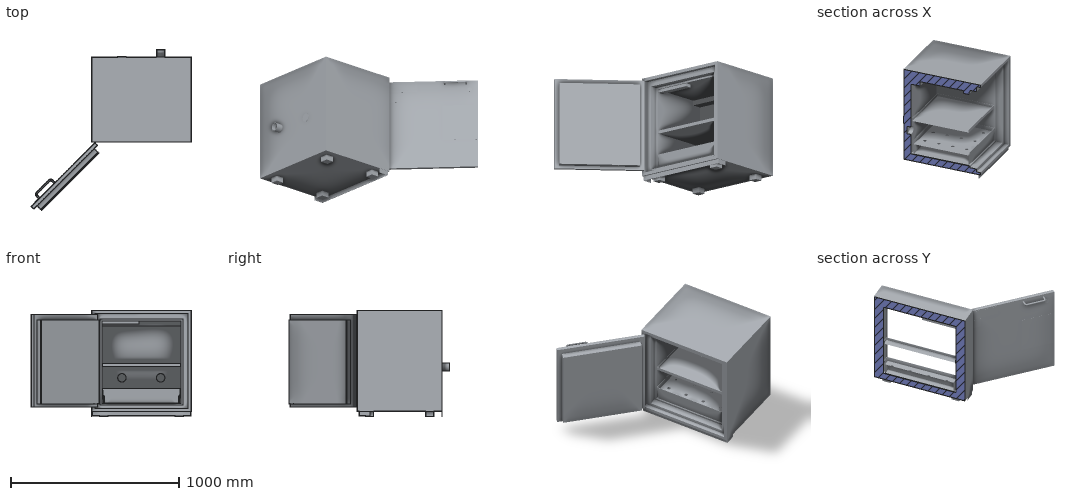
import cadquery as cq
import math


width = 592.15
depth = 503.7
height = 600.0
foot_height = 30.88
foot_side = 50.0
foot_inset = 48.0
side_rim = 20.0
end_rim = 18.5
recess_depth = 27.0
mouth_width = 494.0
mouth_height = 511.0
mouth_top_gap = 51.5
mouth_depth = 43.0
chamber_width = 470.0
chamber_height = 489.0
chamber_depth = 385.0
top = foot_height + height
mid_x = width / 2
mouth_mid_z = top - mouth_top_gap - mouth_height / 2
chamber_front = recess_depth + mouth_depth
chamber_back = chamber_front + chamber_depth
chamber_floor = mouth_mid_z - chamber_height / 2
chamber_top = mouth_mid_z + chamber_height / 2
chamber_left = mid_x - chamber_width / 2

band_height = 29.0
band_depth = 60.0
rail_length = 219.0
rail_height = 18.0
rail_depth = 40.0

duct_diameter = 50.0
duct_x = (180.0, 410.0)
port_z = top - 400.0
port_depth = 25.0
spigot_z = top - 336.0
spigot_length = 44.5
spigot_bore = 45.0
cap_length = 3.0

strip_side = 1.0

plinth_gap = 3.0
plinth_setback = 11.0
plinth_depth = 64.0
plinth_height = 26.5
plinth_sheet = 2.0

door_angle = 45.0
hinge_x = 20.0
hinge_y = -4.3
door_width = 535.0
door_height = 551.0
door_thickness = 21.5
door_top_gap = 23.0
plug_width = 480.0
plug_height = 499.0
plug_thickness = 30.0
lining_thickness = 8.0
plug_top_gap = 56.5
lock_diameter = 25.0
lock_height = 2.0
lock_from_hinge = 487.0
lock_z = top - 80.0

label_thickness = 0.5
labels = (
    (8.0, 31.5, 168.0, 57.0),
    (9.0, 94.5, 59.0, 57.0),
    (325.0, 179.5, 210.0, 221.0),
)

handle_diameter = 10.0
handle_span = 128.0
handle_from_hinge = 402.0
handle_reach = 33.2
handle_bend = 13.0
handle_z = top - 44.0

shelf_width = 465.0
shelf_depth = 370.0
shelf_thickness = 19.0
shelf_sheet = 2.0
shelf_top = top - 315.0

tray_width = 465.0
tray_depth = 375.0
tray_height = 87.0
tray_taper = 8.0
tray_sheet = 2.0
insert_drop = 20.0
insert_sheet = 2.0
hole_diameter = 20.0
hole_columns = 4
hole_rows = 4
hole_pitch_x = 119.0
hole_pitch_y = 91.0
shelf_front = chamber_front + 7.0
tray_front = chamber_front + 1.0
tray_mid_y = tray_front + tray_depth / 2


def block(x, y, z, dx, dy, dz):
    return cq.Workplane("XY").box(dx, dy, dz, centered=False).translate((x, y, z))


def rod(x, y, z, diameter, length):
    """Cylinder that runs from (x, y, z) along +Y."""
    return cq.Workplane("XZ").circle(diameter / 2).extrude(-length).translate((x, y, z))


def make_housing():
    body = block(0, 0, foot_height, width, depth, height)
    body = body.cut(block(side_rim, 0, foot_height + end_rim,
                          width - 2 * side_rim, recess_depth, height - 2 * end_rim))
    body = body.cut(block(mid_x - mouth_width / 2, 0, mouth_mid_z - mouth_height / 2,
                          mouth_width, chamber_front, mouth_height))
    body = body.cut(block(chamber_left, 0, chamber_floor, chamber_width, chamber_back, chamber_height))
    body = body.union(block(chamber_left, chamber_back - band_depth, chamber_top - band_height,
                            chamber_width, band_depth, band_height))
    body = body.union(block(chamber_left, shelf_front, chamber_top - rail_height,
                            rail_length, rail_depth, rail_height))
    for x in duct_x:
        body = body.cut(rod(x, chamber_back, port_z, duct_diameter, port_depth))
    spigot = rod(duct_x[1], depth, spigot_z, duct_diameter, spigot_length)
    spigot = spigot.cut(rod(duct_x[1], depth, spigot_z, spigot_bore, spigot_length))
    body = body.union(spigot).union(rod(duct_x[0], depth, spigot_z, duct_diameter, cap_length))
    for x in (foot_inset, width - foot_inset - foot_side):
        for y in (foot_inset, depth - foot_inset - foot_side):
            body = body.union(block(x, y, 0, foot_side, foot_side, foot_height))
    return body.union(block(0, depth - strip_side, 0, strip_side, strip_side, foot_height))


def make_plinth():
    length = width - 2 * plinth_gap
    z = foot_height - plinth_height
    body = block(plinth_gap, plinth_setback, z, length, plinth_depth, plinth_height)
    return body.cut(block(plinth_gap + plinth_sheet, plinth_setback + plinth_sheet, z,
                          length - 2 * plinth_sheet, plinth_depth, plinth_height))


def swing(body):
    """Open a part modelled on the closed door: hinge edge on the Z axis, free edge along -X,
    outer face at Y = 0 and inner side towards -Y. The body is turned and moved to the hinge point."""
    return body.rotate((0, 0, 0), (0, 0, 1), door_angle).translate((hinge_x, hinge_y, 0))


def make_door():
    body = block(-door_width, -door_thickness, top - door_top_gap - door_height,
                 door_width, door_thickness, door_height)
    inset = (door_width - plug_width) / 2
    z = top - plug_top_gap - plug_height
    body = body.union(block(-inset - plug_width, -door_thickness - plug_thickness, z,
                            plug_width, plug_thickness, plug_height))
    body = body.union(rod(-lock_from_hinge, 0, lock_z, lock_diameter, lock_height))
    for start, drop, length, tall in labels:
        body = body.union(block(-start - length, 0, top - drop - tall, length, label_thickness, tall))
    return swing(body)


def make_lining():
    return swing(block(-(door_width + plug_width) / 2, -door_thickness - plug_thickness - lining_thickness,
                       top - plug_top_gap - plug_height, plug_width, lining_thickness, plug_height))


def make_handle():
    half_span = handle_span / 2
    bend_sag = handle_bend * (1 - math.sqrt(0.5))
    path = (
        cq.Workplane("XY")
        .moveTo(-half_span, 0)
        .lineTo(-half_span, handle_reach - handle_bend)
        .threePointArc((-half_span + bend_sag, handle_reach - bend_sag),
                       (-half_span + handle_bend, handle_reach))
        .lineTo(half_span - handle_bend, handle_reach)
        .threePointArc((half_span - bend_sag, handle_reach - bend_sag),
                       (half_span, handle_reach - handle_bend))
        .lineTo(half_span, 0)
    )
    bar = cq.Workplane("XZ", origin=(-half_span, 0, 0)).circle(handle_diameter / 2).sweep(path)
    return swing(bar.translate((-handle_from_hinge, 0, handle_z)))


def make_shelf():
    x = mid_x - shelf_width / 2
    z = shelf_top - shelf_thickness
    body = block(x, shelf_front, z, shelf_width, shelf_depth, shelf_thickness)
    return body.cut(block(x + shelf_sheet, shelf_front + shelf_sheet, z + shelf_sheet,
                          shelf_width - 2 * shelf_sheet, shelf_depth - 2 * shelf_sheet, shelf_thickness))


def tray_solid(wall, base):
    """Tapered block that stays `wall` inside the tray's sides, from height `base` to the tray's rim."""
    foot = tray_taper * (1 - base / tray_height) + wall
    body = (cq.Workplane("XY").rect(tray_width - 2 * foot, tray_depth - 2 * foot)
            .workplane(offset=tray_height - base)
            .rect(tray_width - 2 * wall, tray_depth - 2 * wall).loft(ruled=True))
    return body.translate((mid_x, tray_mid_y, chamber_floor + base))


def make_tray():
    return tray_solid(0, 0).cut(tray_solid(tray_sheet, tray_sheet))


def make_insert():
    """Perforated plate on two side legs that stand on the tray's floor."""
    margin = tray_taper + tray_sheet
    length = tray_width - 2 * margin
    breadth = tray_depth - 2 * margin
    left = mid_x - length / 2
    front = tray_mid_y - breadth / 2
    base = chamber_floor + tray_sheet
    tall = tray_height - insert_drop - tray_sheet
    body = block(left, front, base, length, breadth, tall)
    body = body.cut(block(left + insert_sheet, front, base,
                          length - 2 * insert_sheet, breadth, tall - insert_sheet))
    for column in range(hole_columns):
        for row in range(hole_rows):
            x = mid_x + (column - (hole_columns - 1) / 2) * hole_pitch_x
            y = tray_mid_y + (row - (hole_rows - 1) / 2) * hole_pitch_y
            drill = cq.Workplane("XY").circle(hole_diameter / 2).extrude(tall)
            body = body.cut(drill.translate((x, y, base)))
    return body


housing = make_housing()
plinth = make_plinth()
door = make_door()
lining = make_lining()
handle = make_handle()
shelf = make_shelf()
tray = make_tray()
insert = make_insert()

result = cq.Compound.makeCompound([
    housing.val(),
    plinth.val(),
    door.val(),
    lining.val(),
    handle.val(),
    shelf.val(),
    tray.val(),
    insert.val(),
])